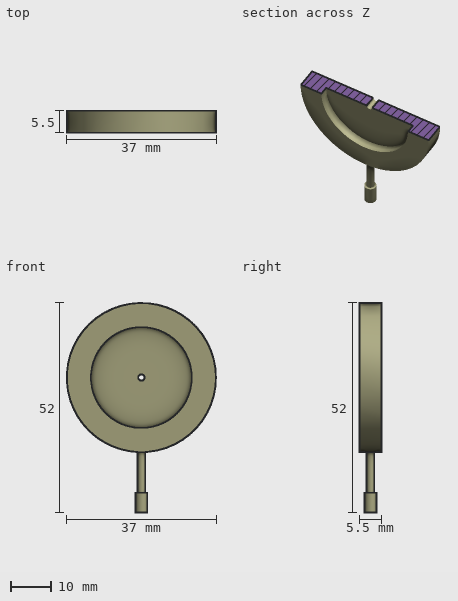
import cadquery as cq

total_height = 52.0
disc_diameter = 37.0
disc_thickness = 5.5
recess_diameter = 25.0
recess_depth = 2.3
pinhole_diameter = 1.5
stem_diameter = 2.0
tip_diameter = 3.0
tip_length = 5.0

front_y = -disc_thickness / 2
disc_radius = disc_diameter / 2
tip_bottom_z = disc_radius - total_height
stem_top_z = -(disc_radius + recess_diameter / 2) / 2


def cylinder_along_y(diameter, length):
    """Cylinder starting at the front face and running toward +Y."""
    plane = cq.Plane(origin=(0, front_y, 0), xDir=(1, 0, 0), normal=(0, 1, 0))
    return cq.Workplane(plane).circle(diameter / 2).extrude(length)


def cylinder_from_tip(diameter, length):
    """Cylinder starting at the bottom of the tip and running toward +Z."""
    return cq.Workplane("XY", origin=(0, 0, tip_bottom_z)).circle(diameter / 2).extrude(length)


stem = cylinder_from_tip(stem_diameter, stem_top_z - tip_bottom_z)
tip = cylinder_from_tip(tip_diameter, tip_length)

disc = cylinder_along_y(disc_diameter, disc_thickness)
recess = cylinder_along_y(recess_diameter, recess_depth)
pinhole = cylinder_along_y(pinhole_diameter, disc_thickness)

result = disc.union(stem).union(tip).cut(recess).cut(pinhole)